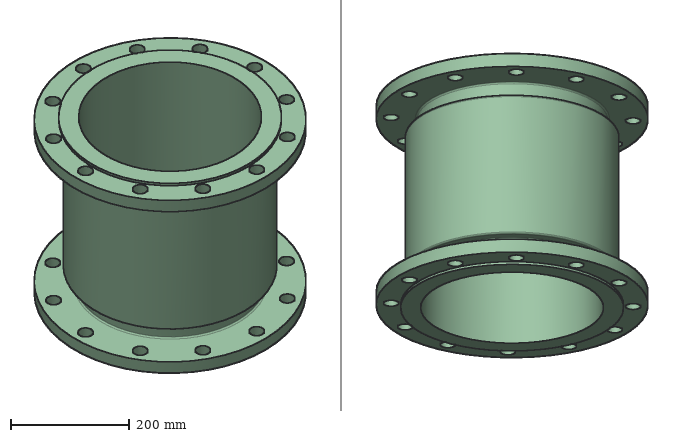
import cadquery as cq

total_length = 375.0
flange_diameter = 460.0
bore_diameter = 309.0

flange_thickness = 24.0
raised_face_diameter = 377.0
raised_face_height = 5.0
bolt_count = 12
bolt_circle_diameter = 409.5
bolt_hole_diameter = 25.8

neck_diameter = 324.0
body_diameter = 362.0
body_length = 254.5
body_rim_fillet = 3.0
neck_fillet = 2.8

radius_tolerance = 0.05

flange_outer_z = total_length / 2 - raised_face_height
flange_inner_z = flange_outer_z - flange_thickness


def cylinder(diameter, bottom_z, height):
    return cq.Workplane("XY").workplane(offset=bottom_z).circle(diameter / 2).extrude(height)


def make_upper_flange():
    """Flange disc with its raised sealing face and a ring of bolt holes."""
    disc = cylinder(flange_diameter, flange_inner_z, flange_thickness)
    raised_face = cylinder(raised_face_diameter, flange_outer_z, raised_face_height)
    half_pitch = 360 / bolt_count / 2
    bolt_holes = (
        cq.Workplane("XY")
        .workplane(offset=flange_inner_z)
        .polarArray(bolt_circle_diameter / 2, half_pitch, 360, bolt_count)
        .circle(bolt_hole_diameter / 2)
        .extrude(flange_thickness)
    )
    return disc.union(raised_face).cut(bolt_holes)


def has_diameter(diameter):
    """Edge test: true for circular edges of the given diameter."""
    return lambda edge: abs(edge.radius() - diameter / 2) < radius_tolerance


upper_flange = make_upper_flange()
lower_flange = upper_flange.mirror("XY")
neck = cylinder(neck_diameter, -flange_inner_z, 2 * flange_inner_z)
body = cylinder(body_diameter, -body_length / 2, body_length)
bore = cylinder(bore_diameter, -total_length / 2, total_length)

outer_shape = neck.union(body).union(upper_flange).union(lower_flange)

neck_corners = outer_shape.edges("%CIRCLE").filter(has_diameter(neck_diameter))
outer_shape = neck_corners.fillet(neck_fillet)

body_rims = outer_shape.edges("%CIRCLE").filter(has_diameter(body_diameter))
outer_shape = body_rims.fillet(body_rim_fillet)

result = outer_shape.cut(bore)